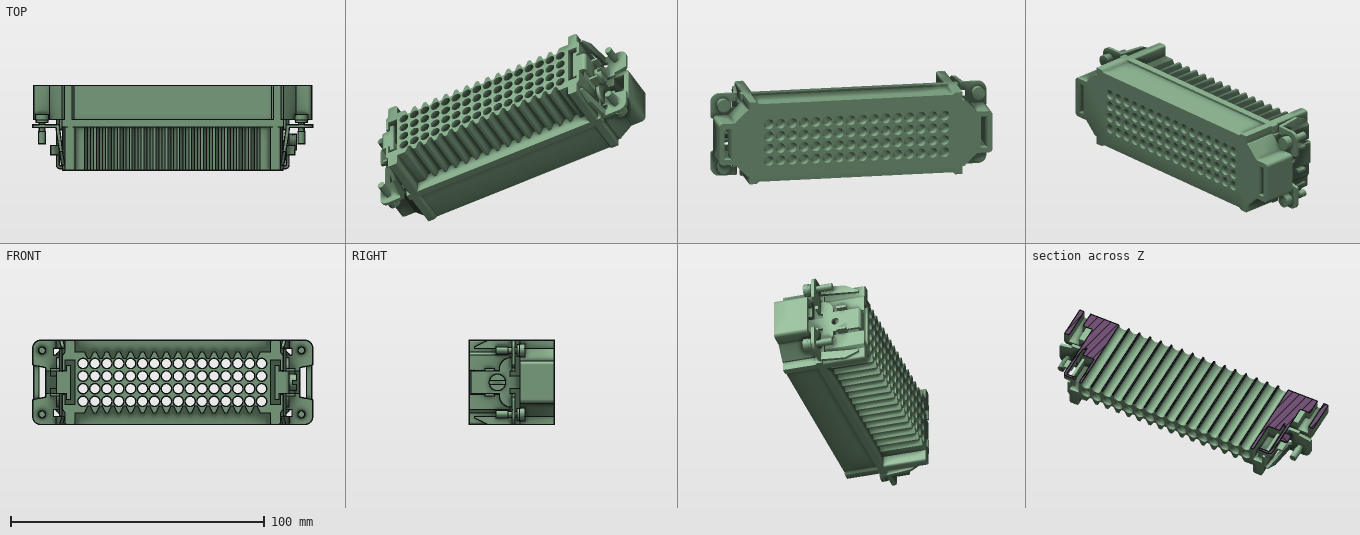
import cadquery as cq
import math

HALF_LENGTH = 55.4
HALF_HEIGHT = 16.7
DEPTH = 33.7

HOLE_DIAMETER = 4.0
COLUMNS = 16
ROWS = 4
FIELD_LENGTH = 70.5
ROW_PITCH = 5.0
FIELD_OFFSET_X = -0.17

BLOCK_HALF_LENGTH = 43.5
BLOCK_HALF_HEIGHT = 12.1
BLOCK_SIDE_HALF_HEIGHT = 10.7
CREST_HALF_WIDTH = 0.5
VALLEY_HALF_WIDTH = 0.5
VALLEY_Z = 9.4

FIN_INNER_X = 38.5
FIN_OUTER_X = 42.5
FIN_ROUND = 0.9

RECESS_HALF_HEIGHT = 8.7
RECESS_DEPTH = 13.3
WALL_SLOT_HALF_HEIGHT = 4.8

FLANGE_HALF_LENGTH = 43.7
FLANGE_FRONT_Y = 17.3
FLANGE_REAR_Y = 20.0

PAD_HALF_HEIGHT = 13.3
PAD_FRONT_Y = 16.1

RIDGE_OUTER_X = 42.9
RIDGE_INNER_X = 39.9
PANEL_DROP = 0.9

GUARD_HALF_LENGTH = 54.9
GUARD_HALF_HEIGHT = 8.4
GUARD_SLOPE_RISE = 5.0
GUARD_WALL = 2.1
GUARD_ROUND = 1.5
SLOT_INNER_X = 50.2
POCKET_INNER_X = 48.3
TONGUE_HALF_WIDTH = 2.4
POCKET_DEPTH = 6.6

SHEET = 1.2
PLATE_FRONT_Y = 17.0
PLATE_CORNER = 3.3
PLATE_OUTER_EDGE_Z = 6.9
PLATE_INNER_EDGE_Z = 5.8
PLATE_EDGE_ROUND = 0.5
TAB_OUTER_X = 46.0
TAB_FRONT_Y = 0.7
TAB_HALF_WIDTH = 4.4
SHOULDER_HALF_WIDTH = 9.7
SHOULDER_ROUND = 4.4
SHOULDER_ARC_Y = 16.4
NOTCH_FRONT_Y = 16.2
BEND_RADIUS = 1.4
PLATE_BEND_RADIUS = 0.9
HOOK_TIP_X = 40.4
HOOK_HALF_WIDTH = 6.8
HOOK_LENGTH = 1.5
EAR_TIP_X = 48.3
EAR_FRONT_Y = 6.2
EAR_REAR_Y = 10.0
EAR_THICKNESS = 1.0
RELIEF_OUTER_X = 47.1
RELIEF_LOW_Z = 10.7
RELIEF_HIGH_Z = 13.4
WING_ROOT_X = 46.2
WING_TIP_X = 44.0
WING_TIP_Y = 2.2
WING_TAPER_Y = 7.5
WING_TIP_HEIGHT = 0.7
GROUND_HOLE_DIAMETER = 3.0
GROUND_Y = 11.2

SCREW_XS = (-51.6, 50.8)
SCREW_Z = 12.6
SCREW_STEPS = (
    (2.9, 10.5, 15.4),
    (2.3, 15.4, 18.9),
    (4.8, 18.9, 19.9),
    (5.1, 19.9, 22.0),
)

GROUND_HEAD_DIAMETER = 6.5
GROUND_HEAD_HEIGHT = 3.0
DRIVER_SLOT_WIDTH = 1.7
DRIVER_SLOT_DEPTH = 1.5

TAB_INNER_X = TAB_OUTER_X - SHEET
COLUMN_PITCH = FIELD_LENGTH / (COLUMNS - 1)
PLATE_REAR_Y = PLATE_FRONT_Y + SHEET
COLUMN_XS = [FIELD_OFFSET_X + (i - (COLUMNS - 1) / 2) * COLUMN_PITCH for i in range(COLUMNS)]
ROW_ZS = [(i - (ROWS - 1) / 2) * ROW_PITCH for i in range(ROWS)]


def box(x0, x1, y0, y1, z0, z1):
    """Box between opposite corners."""
    return cq.Workplane("XY").box(x1 - x0, y1 - y0, z1 - z0, centered=False).translate((x0, y0, z0))


def flat_prism(points, y0, y1):
    """Extrude an (x, z) polygon from y0 back to y1."""
    return cq.Workplane("XZ", origin=(0, y0, 0)).polyline(points).close().extrude(y0 - y1)


def rod_y(x, z, diameter, y0, y1):
    """Round bar along Y."""
    return cq.Workplane("XZ", origin=(x, y0, z)).circle(diameter / 2).extrude(y0 - y1)


def rod_x(y, z, diameter, x0, x1):
    """Round bar along X."""
    return cq.Workplane("YZ", origin=(x0, y, z)).circle(diameter / 2).extrude(x1 - x0)


def both_ends(shape):
    """The +X feature together with its mirror image at -X."""
    return shape.union(shape.mirror("YZ"))


def both_levels(shape):
    """The +Z feature together with its mirror image at -Z."""
    return shape.union(shape.mirror("XY"))


def four_corners(points):
    """Mirror a quarter outline, running from the +X side to the middle, into a closed outline."""
    upper = points + [(-x, z) for x, z in reversed(points)]
    return upper + [(x, -z) for x, z in reversed(upper)]


def mating_block():
    """Block that holds the contacts, with V grooves between the columns above and below."""
    block = flat_prism(
        four_corners([
            (BLOCK_HALF_LENGTH, BLOCK_SIDE_HALF_HEIGHT),
            (FIN_OUTER_X, BLOCK_HALF_HEIGHT),
        ]),
        0, FLANGE_FRONT_Y,
    )
    mouth = COLUMN_PITCH / 2 - CREST_HALF_WIDTH
    groove = both_levels(flat_prism(
        [(-mouth, BLOCK_HALF_HEIGHT), (-VALLEY_HALF_WIDTH, VALLEY_Z),
         (VALLEY_HALF_WIDTH, VALLEY_Z), (mouth, BLOCK_HALF_HEIGHT)],
        0, FLANGE_FRONT_Y,
    ))
    for x in COLUMN_XS[:-1]:
        block = block.cut(groove.translate((x + COLUMN_PITCH / 2, 0, 0)))
    fin = box(FIN_INNER_X, FIN_OUTER_X, 0, FLANGE_FRONT_Y, 0, HALF_HEIGHT)
    fin = fin.edges("|Y and >Z").fillet(FIN_ROUND)
    return block.union(both_ends(both_levels(fin)))


def hook_recess():
    """Recess and side opening that take a bracket's hooked end."""
    recess = box(FIN_INNER_X, FIN_OUTER_X, 0, RECESS_DEPTH, -RECESS_HALF_HEIGHT, RECESS_HALF_HEIGHT)
    opening = box(FIN_OUTER_X, BLOCK_HALF_LENGTH, 0, RECESS_DEPTH,
                  -WALL_SLOT_HALF_HEIGHT, WALL_SLOT_HALF_HEIGHT)
    return recess.union(opening)


def rear_body():
    """Rear body with raised ridges beside a sunken panel, above and below."""
    return flat_prism(
        four_corners([
            (RIDGE_OUTER_X, HALF_HEIGHT),
            (RIDGE_INNER_X, HALF_HEIGHT),
            (RIDGE_INNER_X - PANEL_DROP, HALF_HEIGHT - PANEL_DROP),
        ]),
        FLANGE_REAR_Y, DEPTH,
    )


def guard():
    """Guard at the +X end: sloped sides, an open slot, and a notched pocket beside the slot."""
    slope_top_z = GUARD_HALF_HEIGHT + GUARD_SLOPE_RISE
    slope_foot_x = FLANGE_HALF_LENGTH + GUARD_SLOPE_RISE
    upper = [(FLANGE_HALF_LENGTH, slope_top_z), (slope_foot_x, GUARD_HALF_HEIGHT),
             (GUARD_HALF_LENGTH, GUARD_HALF_HEIGHT)]
    lower = [(x, -z) for x, z in reversed(upper)]
    start, end = (RIDGE_INNER_X, slope_top_z), (RIDGE_INNER_X, -slope_top_z)
    body = flat_prism([start] + upper + lower + [end], FLANGE_REAR_Y, DEPTH)
    body = body.edges("|Y and >X").fillet(GUARD_ROUND)

    slot_half_height = GUARD_HALF_HEIGHT - GUARD_WALL
    slot = box(SLOT_INNER_X, GUARD_HALF_LENGTH - GUARD_WALL, FLANGE_REAR_Y, DEPTH,
               -slot_half_height, slot_half_height)
    pocket_rear_y = FLANGE_REAR_Y + POCKET_DEPTH
    pocket = box(POCKET_INNER_X, SLOT_INNER_X, FLANGE_REAR_Y, pocket_rear_y,
                 -slot_half_height, slot_half_height)
    notch = box(TAB_OUTER_X, POCKET_INNER_X, FLANGE_REAR_Y, pocket_rear_y,
                -TONGUE_HALF_WIDTH, TONGUE_HALF_WIDTH)
    return body.cut(slot).cut(pocket).cut(notch)


def contact_holes():
    """Grid of contact holes through the full depth."""
    return (
        cq.Workplane("XZ")
        .pushPoints([(x, z) for x in COLUMN_XS for z in ROW_ZS])
        .circle(HOLE_DIAMETER / 2)
        .extrude(-DEPTH)
    )


def housing():
    flange = box(-FLANGE_HALF_LENGTH, FLANGE_HALF_LENGTH, FLANGE_FRONT_Y, FLANGE_REAR_Y,
                 -HALF_HEIGHT, HALF_HEIGHT)
    pad = box(FLANGE_HALF_LENGTH, TAB_INNER_X, PAD_FRONT_Y, FLANGE_REAR_Y,
              -PAD_HALF_HEIGHT, PAD_HALF_HEIGHT)
    body = mating_block().union(flange).union(both_ends(pad)).union(rear_body()).union(both_ends(guard()))
    return body.cut(both_ends(hook_recess())).cut(contact_holes())


def mounting_plate():
    """Upper mounting plate with a relief at its bend."""
    plate = flat_prism(
        [(HALF_LENGTH, PLATE_OUTER_EDGE_Z), (SLOT_INNER_X, PLATE_INNER_EDGE_Z),
         (SLOT_INNER_X, TAB_HALF_WIDTH), (TAB_INNER_X, TAB_HALF_WIDTH),
         (TAB_INNER_X, HALF_HEIGHT), (HALF_LENGTH, HALF_HEIGHT)],
        PLATE_FRONT_Y, PLATE_REAR_Y,
    )
    plate = plate.edges("|Y").edges(">X").edges(">Z").fillet(PLATE_CORNER)
    plate = plate.edges("|Y").edges(">X").edges("<Z").fillet(PLATE_EDGE_ROUND)
    plate = plate.edges("|Z").edges("<X").edges(">Y").fillet(PLATE_BEND_RADIUS)
    relief = box(TAB_INNER_X, RELIEF_OUTER_X, PLATE_FRONT_Y, PLATE_REAR_Y, RELIEF_LOW_Z, RELIEF_HIGH_Z)
    return plate.cut(relief)


def tab():
    """Upright tab: rounded shoulders, a tongue back to the guard, and a hooked front end."""
    arc_z = SHOULDER_HALF_WIDTH - SHOULDER_ROUND
    diagonal = SHOULDER_ROUND * math.sqrt(0.5)
    half_face = (
        cq.Workplane("YZ", origin=(TAB_INNER_X, 0, 0))
        .moveTo(TAB_FRONT_Y + BEND_RADIUS, 0)
        .lineTo(TAB_FRONT_Y + BEND_RADIUS, TAB_HALF_WIDTH)
        .lineTo(SHOULDER_ARC_Y - SHOULDER_ROUND, TAB_HALF_WIDTH)
        .lineTo(SHOULDER_ARC_Y - SHOULDER_ROUND, arc_z)
        .threePointArc((SHOULDER_ARC_Y - diagonal, arc_z + diagonal), (SHOULDER_ARC_Y, SHOULDER_HALF_WIDTH))
        .lineTo(PLATE_FRONT_Y, SHOULDER_HALF_WIDTH)
        .lineTo(PLATE_FRONT_Y, TAB_HALF_WIDTH)
        .lineTo(NOTCH_FRONT_Y, TAB_HALF_WIDTH)
        .lineTo(NOTCH_FRONT_Y, TONGUE_HALF_WIDTH)
        .lineTo(FLANGE_REAR_Y, TONGUE_HALF_WIDTH)
        .lineTo(FLANGE_REAR_Y, 0)
        .close()
        .extrude(SHEET)
    )
    inner_radius = BEND_RADIUS - SHEET
    bend_y = TAB_FRONT_Y + BEND_RADIUS
    bend_x = TAB_OUTER_X - BEND_RADIUS
    hook_neck = (
        cq.Workplane("XY", origin=(0, 0, -TAB_HALF_WIDTH))
        .moveTo(TAB_OUTER_X, bend_y)
        .radiusArc((bend_x, TAB_FRONT_Y), BEND_RADIUS)
        .lineTo(HOOK_TIP_X, TAB_FRONT_Y)
        .lineTo(HOOK_TIP_X, TAB_FRONT_Y + SHEET)
        .lineTo(bend_x, TAB_FRONT_Y + SHEET)
        .radiusArc((TAB_INNER_X, bend_y), -inner_radius)
        .close()
        .extrude(2 * TAB_HALF_WIDTH)
    )
    hook_head = box(HOOK_TIP_X, HOOK_TIP_X + HOOK_LENGTH, TAB_FRONT_Y, TAB_FRONT_Y + SHEET,
                    -HOOK_HALF_WIDTH, HOOK_HALF_WIDTH)
    ground_hole = rod_x(GROUND_Y, 0, GROUND_HOLE_DIAMETER, TAB_INNER_X, TAB_OUTER_X)
    return both_levels(half_face).union(hook_neck).union(hook_head).cut(ground_hole)


def ear():
    """Small ear bent outwards from the upper edge of the tab."""
    return box(TAB_INNER_X, EAR_TIP_X, EAR_FRONT_Y, EAR_REAR_Y,
               TAB_HALF_WIDTH, TAB_HALF_WIDTH + EAR_THICKNESS)


def wing():
    """Upper wing, leaning in towards the mating block and tapering to its tip."""
    blade = (
        cq.Workplane("XY", origin=(0, 0, RELIEF_HIGH_Z))
        .polyline([(WING_ROOT_X, PLATE_FRONT_Y), (WING_TIP_X, WING_TIP_Y),
                   (WING_TIP_X - SHEET, WING_TIP_Y), (TAB_INNER_X, PLATE_REAR_Y - PLATE_BEND_RADIUS)])
        .close()
        .extrude(HALF_HEIGHT - RELIEF_HIGH_Z)
    )
    taper = (
        cq.Workplane("YZ", origin=(WING_TIP_X - SHEET, 0, 0))
        .polyline([(WING_TAPER_Y, HALF_HEIGHT), (WING_TIP_Y, HALF_HEIGHT),
                   (WING_TIP_Y, RELIEF_HIGH_Z + WING_TIP_HEIGHT)])
        .close()
        .extrude(WING_ROOT_X - WING_TIP_X + SHEET)
    )
    return blade.cut(taper)


def bracket():
    upper = mounting_plate().union(wing()).union(ear())
    return tab().union(both_levels(upper))


def mounting_screw(x):
    """Screw held by its neck in an upper mounting plate."""
    screw = cq.Workplane("XZ")
    for diameter, front_y, rear_y in SCREW_STEPS:
        screw = screw.union(rod_y(x, SCREW_Z, diameter, front_y, rear_y))
    return screw


def connector():
    """Housing with a bracket and its screws at either end."""
    body = housing().union(both_ends(bracket()))
    for x in SCREW_XS:
        body = body.union(both_levels(mounting_screw(x)))
    return body


def ground_screw():
    """Slotted screw whose shank fills the ground hole of the +X bracket."""
    head_end = TAB_OUTER_X + GROUND_HEAD_HEIGHT
    head = rod_x(GROUND_Y, 0, GROUND_HEAD_DIAMETER, TAB_OUTER_X, head_end)
    shank = rod_x(GROUND_Y, 0, GROUND_HOLE_DIAMETER, TAB_INNER_X, TAB_OUTER_X)
    driver_slot = box(head_end - DRIVER_SLOT_DEPTH, head_end,
                      GROUND_Y - GROUND_HEAD_DIAMETER / 2, GROUND_Y + GROUND_HEAD_DIAMETER / 2,
                      -DRIVER_SLOT_WIDTH / 2, DRIVER_SLOT_WIDTH / 2)
    return head.union(shank).cut(driver_slot)


result = cq.Compound.makeCompound([connector().val(), ground_screw().val()])